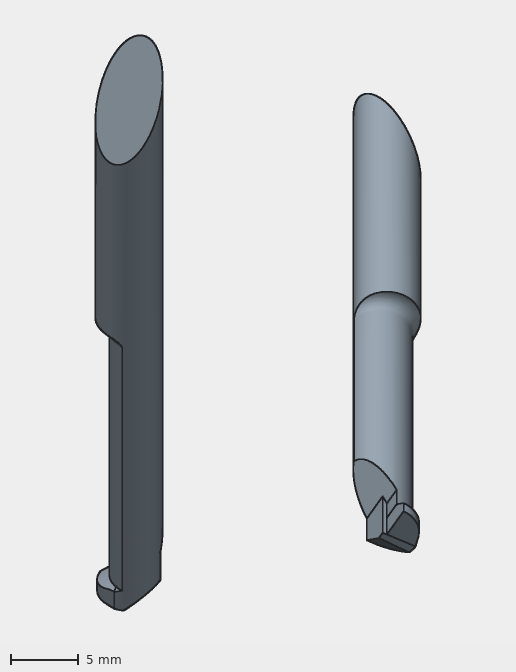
import cadquery as cq
import math

total_length = 51.6
shank_radius = 2.5
bevel_angle = math.radians(30)

neck_radius = 2.4
neck_offset = 1.1
neck_bottom = 2.05
shoulder_height = 26.3
shoulder_fillet = 0.95

ramp_start = 8.25
core_face_y = 0.3
rake_face_y = -0.05
heel_chamfer_x = 0.65
end_clearance = 0.15

tip_radius = 2.35
tip_side_x = 0.1
tip_heel_x = -0.9

margin = 2.6
reach = shank_radius + margin


def make_top_bevel():
    """Wedge that leaves the slanted elliptical end face, highest at +Y."""
    drop = 2 * reach / math.tan(bevel_angle)
    overhang = margin / math.tan(bevel_angle)
    high = total_length + overhang
    return (
        cq.Workplane("YZ")
        .polyline([(reach, high), (-reach, high), (-reach, high - drop)])
        .close()
        .extrude(reach, both=True)
    )


def make_neck_cutter():
    """Ring around the neck, filleted at the shoulder and sloped at 45 degrees below."""
    outer_radius = neck_radius + shank_radius + margin
    fillet_middle = shoulder_fillet * (1 - math.sqrt(0.5))
    return (
        cq.Workplane("XZ")
        .moveTo(neck_radius, neck_bottom)
        .lineTo(neck_radius, shoulder_height - shoulder_fillet)
        .threePointArc(
            (neck_radius + fillet_middle, shoulder_height - fillet_middle),
            (neck_radius + shoulder_fillet, shoulder_height),
        )
        .lineTo(outer_radius, shoulder_height)
        .lineTo(outer_radius, neck_bottom - (outer_radius - neck_radius))
        .close()
        .revolve(360, (0, 0), (0, 1))
        .translate((neck_offset, 0, 0))
    )


def make_ramp_cutter(face_y, x_max):
    """Clear the +Y side down to a flat at face_y, with a ramp running out above it."""
    ramp_top = ramp_start + margin / math.tan(bevel_angle)
    ramp_end = ramp_top - (reach - face_y) / math.tan(bevel_angle)
    return (
        cq.Workplane("YZ", origin=(-reach, 0, 0))
        .polyline([(reach, ramp_top), (face_y, ramp_end), (face_y, -margin), (reach, -margin)])
        .close()
        .extrude(x_max + reach)
    )


def make_heel_chamfer():
    """45 degree relief on the +X side of the lower end."""
    x_inner = heel_chamfer_x - margin
    return (
        cq.Workplane("XZ")
        .polyline([(x_inner, -margin), (reach, -margin), (reach, reach - heel_chamfer_x)])
        .close()
        .extrude(reach, both=True)
    )


def make_end_clearance():
    """Wedge that lifts the end face slightly toward -Y."""
    slope = end_clearance / (shank_radius + core_face_y)
    rise = slope * (reach + core_face_y)
    return (
        cq.Workplane("YZ")
        .polyline([(core_face_y, 0), (-reach, rise), (-reach, -margin), (core_face_y, -margin)])
        .close()
        .extrude(reach, both=True)
    )


def make_tip_blank():
    """Prism with a round flank and a flat heel, up to the underside of the neck."""
    tip_edge_x = -math.sqrt(tip_radius**2 - rake_face_y**2)
    flank_middle = tip_radius * math.sqrt(0.5)
    heel_y = -math.sqrt(tip_radius**2 - tip_heel_x**2)
    side_y = -math.sqrt(shank_radius**2 - tip_side_x**2)
    return (
        cq.Workplane("XY")
        .moveTo(tip_edge_x, rake_face_y)
        .threePointArc((-flank_middle, -flank_middle), (tip_heel_x, heel_y))
        .lineTo(tip_side_x, side_y)
        .lineTo(tip_side_x, rake_face_y)
        .close()
        .extrude(neck_bottom)
    )


def make_tip_space():
    """Everything on the tip side of the lower end, removed from the shank."""
    return cq.Workplane("XY").box(
        reach + tip_side_x, 2 * reach, neck_bottom, centered=(False, True, False)
    ).translate((-reach, 0, 0))


neck_cutter = make_neck_cutter()
end_clearance_cutter = make_end_clearance()

shank = (
    cq.Workplane("XY")
    .circle(shank_radius)
    .extrude(total_length)
    .cut(make_top_bevel())
    .cut(neck_cutter)
    .cut(make_ramp_cutter(core_face_y, reach))
    .cut(make_ramp_cutter(rake_face_y, tip_side_x))
    .cut(make_heel_chamfer())
    .cut(end_clearance_cutter)
    .cut(make_tip_space())
)

cutting_tip = make_tip_blank().cut(neck_cutter).cut(end_clearance_cutter)

result = cq.Compound.makeCompound([*shank.vals(), *cutting_tip.vals()])